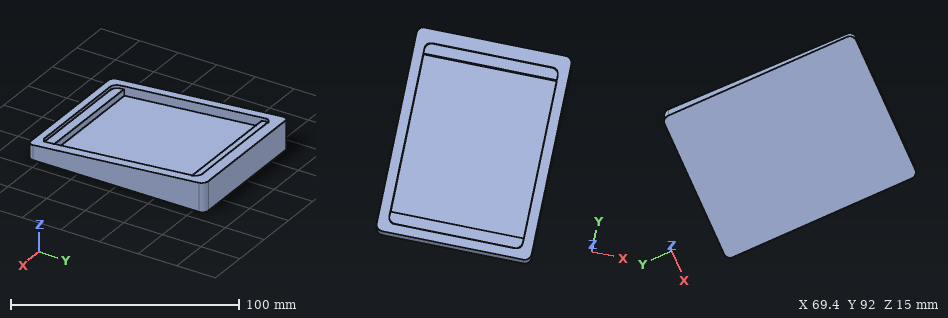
import cadquery as cq
import math

WIDTH = 69.4
LENGTH = 92.0
BACK_HEIGHT = 15.0
FRONT_HEIGHT = 7.45
CORNER_RADIUS = 3.0

RECESS_WIDTH = 59.7
RECESS_FRONT = 4.3
RECESS_LENGTH = 81.8
LEDGE_DEPTH = 1.6
FRONT_LEDGE = 5.15
BACK_LEDGE = 5.0
FLOOR_DEPTH = 4.7

SLOPE = math.degrees(math.atan2(BACK_HEIGHT - FRONT_HEIGHT, LENGTH))


def wedge_body():
    """Rounded rectangular block with a flat base and a top rising towards +Y."""
    side_profile = [
        (-LENGTH / 2, 0),
        (LENGTH / 2, 0),
        (LENGTH / 2, BACK_HEIGHT),
        (-LENGTH / 2, FRONT_HEIGHT),
    ]
    wedge = cq.Workplane("YZ").polyline(side_profile).close().extrude(WIDTH / 2, both=True)
    return wedge.edges("|Z").fillet(CORNER_RADIUS)


def recess_cutter(start, length, depth):
    """Box sunk from the plane Z = 0, starting at the given distance along Y."""
    box = cq.Workplane("XY").box(RECESS_WIDTH, length, depth)
    return box.translate((0, start + length / 2, -depth / 2))


def stepped_recess():
    """Shallow rounded recess with a deeper tray between its two end ledges, tilted to the top face."""
    shallow = recess_cutter(RECESS_FRONT, RECESS_LENGTH, LEDGE_DEPTH).edges("|Z").fillet(CORNER_RADIUS)
    tray_length = RECESS_LENGTH - FRONT_LEDGE - BACK_LEDGE
    tray = recess_cutter(RECESS_FRONT + FRONT_LEDGE, tray_length, FLOOR_DEPTH)
    cutter = shallow.union(tray).rotate((0, 0, 0), (1, 0, 0), SLOPE)
    return cutter.translate((0, -LENGTH / 2, FRONT_HEIGHT))


result = wedge_body().cut(stepped_recess())